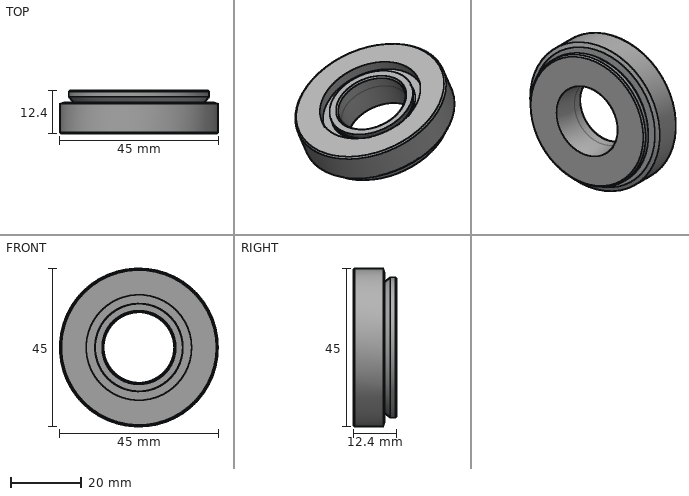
import cadquery as cq
import math

outer_radius = 22.5
total_depth = 12.45
chamfer = 0.5

housing_depth = 9.0
rim_bevel_width = 1.35
rim_bevel_depth = 0.45
recess_radius = 15.0
recess_depth = 3.0
seat_inner_radius = 12.5

flange_radius = 20.0
flange_front = 10.58
hub_radius = 12.4
hub_front = 1.0
hub_band_width = 0.6
hub_neck_radius = 11.95
bore_radius = 10.0
bore_rear_radius = 10.58
bore_flare_start = 4.55

sphere_centre = 25.2
sphere_radius = math.hypot(flange_radius, sphere_centre - flange_front)


def sphere_y(radius):
    """Y position of the spherical seat at a distance from the axis."""
    return sphere_centre - math.sqrt(sphere_radius**2 - radius**2)


def sphere_r(y):
    """Distance of the spherical seat from the axis at a Y position."""
    return math.sqrt(sphere_radius**2 - (y - sphere_centre) ** 2)


def seat_point(start_radius, end_radius):
    """Point on the spherical seat midway between two radii."""
    middle_radius = (start_radius + end_radius) / 2
    return (middle_radius, sphere_y(middle_radius))


def bore_flare_point():
    """Mid-depth point of the flare arc, which leaves the straight bore tangentially."""
    length = total_depth - bore_flare_start
    rise = bore_rear_radius - bore_radius
    arc_radius = (length**2 + rise**2) / (2 * rise)
    mid_length = length / 2
    mid_rise = arc_radius - math.sqrt(arc_radius**2 - mid_length**2)
    return (bore_radius + mid_rise, bore_flare_start + mid_length)


def revolve_about_y(profile):
    return profile.close().revolve(360, (0, 0), (0, 1))


def make_housing():
    """Outer ring with a front recess and a concave spherical seat."""
    seat_outer_radius = sphere_r(housing_depth)
    profile = (
        cq.Workplane("XY")
        .moveTo(recess_radius, 0)
        .lineTo(outer_radius - chamfer, 0)
        .lineTo(outer_radius, chamfer)
        .lineTo(outer_radius, housing_depth - rim_bevel_depth)
        .lineTo(outer_radius - rim_bevel_width, housing_depth)
        .lineTo(seat_outer_radius, housing_depth)
        .threePointArc(
            seat_point(seat_outer_radius, seat_inner_radius),
            (seat_inner_radius, sphere_y(seat_inner_radius)),
        )
        .lineTo(seat_inner_radius, recess_depth)
        .lineTo(recess_radius, recess_depth)
    )
    return revolve_about_y(profile)


def make_inner_ring():
    """Necked hub, convex spherical seat, rear flange and a bore that flares to the rear."""
    profile = (
        cq.Workplane("XY")
        .moveTo(bore_radius + chamfer, hub_front)
        .lineTo(hub_radius, hub_front)
        .lineTo(hub_radius, hub_front + hub_band_width)
        .lineTo(hub_neck_radius, recess_depth)
        .lineTo(seat_inner_radius, recess_depth)
        .lineTo(seat_inner_radius, sphere_y(seat_inner_radius))
        .threePointArc(
            seat_point(seat_inner_radius, flange_radius),
            (flange_radius, flange_front),
        )
        .lineTo(flange_radius, total_depth - chamfer)
        .lineTo(flange_radius - chamfer, total_depth)
        .lineTo(bore_rear_radius, total_depth)
        .threePointArc(bore_flare_point(), (bore_radius, bore_flare_start))
        .lineTo(bore_radius, hub_front + chamfer)
    )
    return revolve_about_y(profile)


housing = make_housing()
inner_ring = make_inner_ring()
result = cq.Compound.makeCompound([housing.val(), inner_ring.val()])